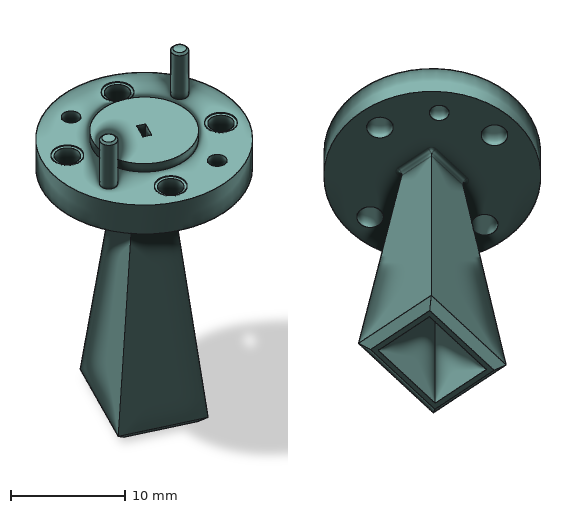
import cadquery as cq
import math

total_height = 34.1

flange_diameter = 19.05
flange_thickness = 3.2
face_diameter = 9.55
face_height = 0.92
pin_diameter = 1.6
pin_height = 5.05
pin_chamfer = 0.2

pitch_radius = 7.13
bolt_hole_diameter = 2.32
counterbore_diameter = 2.85
counterbore_depth = 0.1
dowel_hole_diameter = 1.7

root_fillet = 0.5
neck_size = (4.13, 3.3)
mouth_size = (10.2, 8.35)
rim_size = (8.75, 6.8)
rim_bevel_height = 0.82
waveguide_size = (1.67, 0.82)

pin_top = flange_thickness + pin_height
horn_bottom = pin_top - total_height
mouth_level = horn_bottom + rim_bevel_height

aperture_size = tuple(m - (n - w) for m, n, w in zip(mouth_size, neck_size, waveguide_size))


def frustum(bottom_size, bottom_level, top_size, top_level):
    """Rectangular frustum between two levels."""
    return (
        cq.Workplane("XY", origin=(0, 0, bottom_level))
        .rect(*bottom_size)
        .workplane(offset=top_level - bottom_level)
        .rect(*top_size)
        .loft(ruled=True, combine=True)
    )


def pitch_points(angles):
    """Points on the pitch circle at the given angles in degrees."""
    return [
        (pitch_radius * math.cos(math.radians(a)), pitch_radius * math.sin(math.radians(a)))
        for a in angles
    ]


def make_flange():
    """Round flange with raised face, counterbored bolt holes and dowel holes."""
    flange = cq.Workplane("XY").circle(flange_diameter / 2).extrude(flange_thickness)
    flange = flange.faces(">Z").workplane().circle(face_diameter / 2).extrude(face_height)
    top = cq.Workplane("XY", origin=(0, 0, flange_thickness))
    bolts = top.pushPoints(pitch_points([0, 90, 180, 270]))
    flange = flange.cut(bolts.circle(bolt_hole_diameter / 2).extrude(-flange_thickness))
    counterbores = bolts.circle(counterbore_diameter / 2).extrude(-counterbore_depth)
    dowel_holes = (
        top.pushPoints(pitch_points([45, 225]))
        .circle(dowel_hole_diameter / 2)
        .extrude(-flange_thickness)
    )
    return flange.cut(counterbores).cut(dowel_holes)


def make_pins():
    """Two chamfered dowel pins, seated through the flange."""
    return (
        cq.Workplane("XY")
        .pushPoints(pitch_points([135, 315]))
        .circle(pin_diameter / 2)
        .extrude(pin_top)
        .faces(">Z")
        .edges()
        .chamfer(pin_chamfer)
    )


def make_horn():
    """Flared horn body with a bevelled rim."""
    body = frustum(mouth_size, mouth_level, neck_size, 0)
    rim = frustum(rim_size, horn_bottom, mouth_size, mouth_level)
    return body.union(rim)


def make_passage():
    """Waveguide through the flange, flaring to the horn aperture."""
    guide = (
        cq.Workplane("XY")
        .rect(*waveguide_size)
        .extrude(flange_thickness + face_height)
    )
    flare = frustum(aperture_size, horn_bottom, waveguide_size, 0)
    return guide.union(flare)


result = make_flange().union(make_pins()).union(make_horn())
horn_root = cq.selectors.BoxSelector(
    (-neck_size[0], -neck_size[1], -root_fillet / 2),
    (neck_size[0], neck_size[1], root_fillet / 2),
)
result = result.edges("%LINE").edges(horn_root).fillet(root_fillet)
result = result.cut(make_passage())